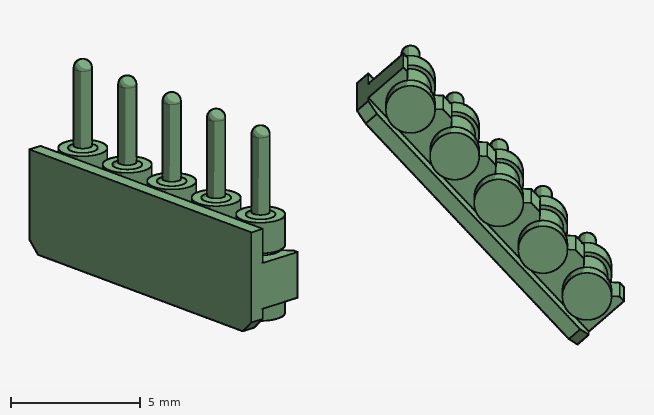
import cadquery as cq

pin_count = 5
pitch = 2.54
carrier_length = pin_count * pitch

plate_thickness = 0.59
plate_height = 4.2
corner_chamfer = 0.5
bar_back = 2.42
bar_bottom = 0.92
bar_top = 2.8

notch_width = 2.04
notch_depth = 0.4

collar_diameter = 1.9
neck_diameter = 1.59
pin_diameter = 0.72
overall_depth = 2.59
pin_axis_y = overall_depth - collar_diameter / 2
lower_collar_bottom = 0.16
upper_collar_bottom = 2.94
upper_collar_top = plate_height
pin_tip = 7.84

shoulder_diameter = 1.15
shoulder_height = 0.1


def make_carrier():
    plate = (
        cq.Workplane("XY")
        .box(carrier_length, plate_thickness, plate_height, centered=(True, False, False))
        .edges("|Y and <Z")
        .chamfer(corner_chamfer)
    )
    bar = (
        cq.Workplane("XY", origin=(0, 0, bar_bottom))
        .box(carrier_length, bar_back, bar_top - bar_bottom, centered=(True, False, False))
    )
    return plate.union(bar)


def make_notch():
    """Lead-in with 45 degree flanks, placed for a pin at X = 0."""
    inner_half_width = notch_width / 2 - notch_depth
    inner_y = bar_back - notch_depth
    return (
        cq.Workplane("XY", origin=(0, 0, bar_bottom))
        .moveTo(-notch_width / 2, bar_back)
        .lineTo(-inner_half_width, inner_y)
        .lineTo(inner_half_width, inner_y)
        .lineTo(notch_width / 2, bar_back)
        .close()
        .extrude(bar_top - bar_bottom)
    )


def make_pin():
    """Revolved pin at X = 0: two collars joined by a neck, conical shoulder, round-tipped pin."""
    collar_radius = collar_diameter / 2
    neck_radius = neck_diameter / 2
    pin_radius = pin_diameter / 2
    profile = (
        cq.Workplane("XZ")
        .moveTo(0, lower_collar_bottom)
        .lineTo(collar_radius, lower_collar_bottom)
        .lineTo(collar_radius, bar_bottom)
        .lineTo(neck_radius, bar_bottom)
        .lineTo(neck_radius, upper_collar_bottom)
        .lineTo(collar_radius, upper_collar_bottom)
        .lineTo(collar_radius, upper_collar_top)
        .lineTo(shoulder_diameter / 2, upper_collar_top)
        .lineTo(pin_radius, upper_collar_top + shoulder_height)
        .lineTo(pin_radius, pin_tip - pin_radius)
        .radiusArc((0, pin_tip), -pin_radius)
        .close()
    )
    return profile.revolve(360, (0, 0, 0), (0, 1, 0)).translate((0, pin_axis_y, 0))


result = make_carrier()
notch = make_notch()
pin = make_pin()
for index in range(pin_count):
    pin_x = (index - (pin_count - 1) / 2) * pitch
    result = result.cut(notch.translate((pin_x, 0, 0)))
    result = result.union(pin.translate((pin_x, 0, 0)))